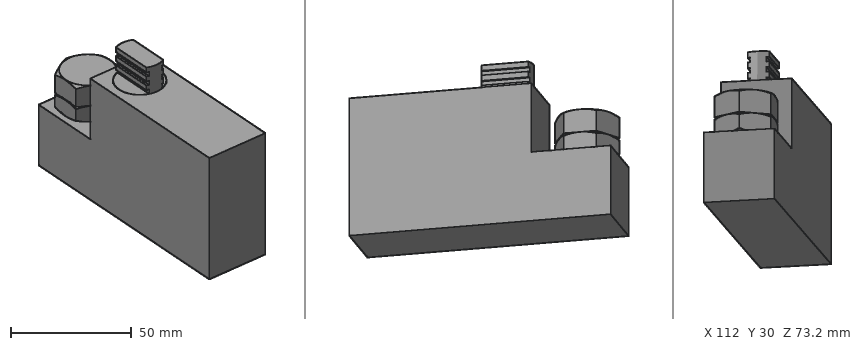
import cadquery as cq
import math

block_length = 112.0
block_width = 30.0
block_height = 60.0
step_length = 33.9
step_height = block_height / 2

hex_flats = 24.0
hex_corners = hex_flats / math.cos(math.radians(30))
hex_center_x = 13.9
nut_height = 8.1
head_height = 10.0
chamfer_circle_radius = 11.9
chamfer_angle = 30.0

key_center_x = 47.9
key_diameter = 22.0
hole_diameter = 22.3
hole_depth = 11.2
tab_height = 13.2
tab_width = 9.2
groove_count = 3
groove_pitch = tab_height / groove_count
groove_height = 2.0
groove_depth = 1.1


def make_cone_limit(height, chamfer_bottom):
    """Turned envelope that bevels the corners of a hexagonal prism."""
    corner_radius = hex_corners / 2
    chamfer_drop = (corner_radius - chamfer_circle_radius) * math.tan(math.radians(chamfer_angle))
    profile = [(0, 0)]
    if chamfer_bottom:
        profile += [(chamfer_circle_radius, 0), (corner_radius, chamfer_drop)]
    else:
        profile += [(corner_radius, 0)]
    profile += [(corner_radius, height - chamfer_drop), (chamfer_circle_radius, height), (0, height)]
    return cq.Workplane("XZ").polyline(profile).close().revolve(360, (0, 0), (0, 1))


def make_hexagon(height, base_z, chamfer_bottom):
    """Hexagonal prism with bevelled corners, standing at base_z over the low step."""
    prism = cq.Workplane("XY").polygon(6, hex_corners).extrude(height)
    bevelled = prism.intersect(make_cone_limit(height, chamfer_bottom))
    return bevelled.translate((hex_center_x, 0, base_z))


def make_housing():
    """Stepped block with the key hole, in one piece with its nut and bolt head."""
    outline = [
        (0, 0),
        (block_length, 0),
        (block_length, block_height),
        (step_length, block_height),
        (step_length, step_height),
        (0, step_height),
    ]
    block = cq.Workplane("XZ").polyline(outline).close().extrude(block_width / 2, both=True)
    hole = (
        cq.Workplane("XY", origin=(key_center_x, 0, block_height - hole_depth))
        .circle(hole_diameter / 2)
        .extrude(hole_depth)
    )
    nut = make_hexagon(nut_height, step_height, chamfer_bottom=True)
    head = make_hexagon(head_height, step_height + nut_height, chamfer_bottom=False)
    return block.cut(hole).union(nut).union(head)


def make_key():
    """Round plug flush with the block top, carrying a flat-sided tab with grooved grips."""
    key = (
        cq.Workplane("XY", origin=(key_center_x, 0, block_height - hole_depth))
        .circle(key_diameter / 2)
        .extrude(hole_depth + tab_height)
    )
    for side in (-1, 1):
        side_cut = cq.Workplane("XY", origin=(key_center_x, 0, block_height)).box(
            key_diameter, key_diameter, tab_height, centered=(True, True, False)
        )
        key = key.cut(side_cut.translate((0, side * (tab_width + key_diameter) / 2, 0)))
        for index in range(groove_count):
            groove = cq.Workplane("XY").box(
                key_diameter, 2 * groove_depth, groove_height, centered=(True, True, False)
            )
            groove_z = block_height + index * groove_pitch
            key = key.cut(groove.translate((key_center_x, side * tab_width / 2, groove_z)))
    return key


housing = make_housing()
key = make_key()
result = cq.Compound.makeCompound([housing.solids().val(), key.solids().val()])